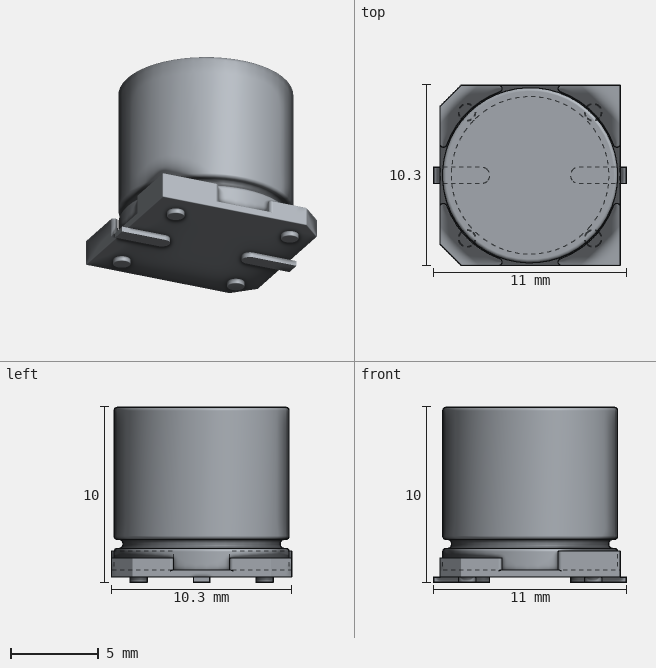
import cadquery as cq
import math

overall_height = 10.0
overall_length = 11.0
base_width = 10.3

can_radius = 5.0
can_top_round = 0.2
groove_floor_radius = 4.5
groove_center_z = 2.2
groove_width = 0.5
groove_corner_round = 0.21
groove_lip_round = 0.2

base_bottom_z = 0.3
base_floor_z = 0.7
low_corner_z = 1.4
high_corner_z = 1.8
base_bevel = 1.22
base_edge_round = 0.05
notch_half_width = 1.6
post_nose_radius = 0.2

terminal_width = 0.94
terminal_inner_x = 2.31
foot_diameter = 1.0
foot_offset = 3.6
foot_edge_round = 0.04

base_half = base_width / 2

nose_along = notch_half_width + post_nose_radius
nose_across = base_half - post_nose_radius
nose_distance = math.hypot(nose_along, nose_across)
seat_radius = nose_distance - post_nose_radius


def make_can():
    """Grooved can turned about Z, standing on the base floor."""
    half_groove = groove_width / 2
    groove_low_z = groove_center_z - half_groove
    groove_high_z = groove_center_z + half_groove
    lip_radius = can_radius - groove_lip_round
    floor_corner_radius = groove_floor_radius + groove_corner_round
    diagonal = math.sqrt(0.5)
    lip_bulge = groove_lip_round * diagonal
    corner_bulge = groove_corner_round * (1 - diagonal)
    top_bulge = can_top_round * (1 - diagonal)

    profile = (
        cq.Workplane("XZ")
        .moveTo(0, base_floor_z)
        .lineTo(can_radius, base_floor_z)
        .lineTo(can_radius, groove_low_z - groove_lip_round)
        .threePointArc(
            (lip_radius + lip_bulge, groove_low_z - groove_lip_round + lip_bulge),
            (lip_radius, groove_low_z),
        )
        .lineTo(floor_corner_radius, groove_low_z)
        .threePointArc(
            (groove_floor_radius + corner_bulge, groove_low_z + corner_bulge),
            (groove_floor_radius, groove_low_z + groove_corner_round),
        )
        .lineTo(groove_floor_radius, groove_high_z - groove_corner_round)
        .threePointArc(
            (groove_floor_radius + corner_bulge, groove_high_z - corner_bulge),
            (floor_corner_radius, groove_high_z),
        )
        .lineTo(lip_radius, groove_high_z)
        .threePointArc(
            (lip_radius + lip_bulge, groove_high_z + groove_lip_round - lip_bulge),
            (can_radius, groove_high_z + groove_lip_round),
        )
        .lineTo(can_radius, overall_height - can_top_round)
        .threePointArc(
            (can_radius - top_bulge, overall_height - top_bulge),
            (can_radius - can_top_round, overall_height),
        )
        .lineTo(0, overall_height)
        .close()
    )
    return profile.revolve(360, (0, 0, 0), (0, 1, 0))


def make_base_plate():
    """Square plate below the can, beveled at its two -X corners."""
    return (
        cq.Workplane("XY", origin=(0, 0, base_bottom_z))
        .rect(base_width, base_width)
        .extrude(base_floor_z - base_bottom_z)
        .edges("|Z and <X")
        .chamfer(base_bevel)
        .edges()
        .fillet(base_edge_round)
    )


def make_corner_post(x_side, y_side, top_z, bevel=0):
    """Post in one corner of the base, with a curved seat around the can."""
    post_bottom_z = base_bottom_z + base_edge_round
    seat_scale = seat_radius / nose_distance
    seat_end_along = nose_along * seat_scale
    seat_end_across = nose_across * seat_scale
    seat_middle = seat_radius * math.sqrt(0.5)

    sweep_start = math.atan2(-nose_across, -nose_along)
    sweep_end = -1.5 * math.pi
    nose_angle = (sweep_start + sweep_end) / 2
    nose_tip_along = nose_along + post_nose_radius * math.cos(nose_angle)
    nose_tip_across = nose_across + post_nose_radius * math.sin(nose_angle)

    def corner_point(x, y):
        return (x_side * x, y_side * y)

    post = (
        cq.Workplane("XY", origin=(0, 0, post_bottom_z))
        .moveTo(*corner_point(nose_along, base_half))
        .threePointArc(
            corner_point(nose_tip_along, nose_tip_across),
            corner_point(seat_end_along, seat_end_across),
        )
        .threePointArc(
            corner_point(seat_middle, seat_middle),
            corner_point(seat_end_across, seat_end_along),
        )
        .threePointArc(
            corner_point(nose_tip_across, nose_tip_along),
            corner_point(base_half, nose_along),
        )
        .lineTo(*corner_point(base_half, base_half))
        .close()
        .extrude(top_z - post_bottom_z)
    )
    outermost = cq.selectors.DirectionMinMaxSelector(cq.Vector(x_side, y_side, 0))
    if bevel > 0:
        post = post.edges("|Z").edges(outermost).chamfer(bevel)
    post = post.edges("|Z").edges(outermost).fillet(base_edge_round)
    return post.faces(">Z").edges().fillet(base_edge_round)


def make_terminal(x_side):
    """Flat terminal with a fully rounded inner end."""
    half_width = terminal_width / 2
    outer_x = x_side * overall_length / 2
    round_start_x = x_side * (terminal_inner_x + half_width)
    return (
        cq.Workplane("XY")
        .moveTo(outer_x, -half_width)
        .lineTo(round_start_x, -half_width)
        .threePointArc((x_side * terminal_inner_x, 0), (round_start_x, half_width))
        .lineTo(outer_x, half_width)
        .close()
        .extrude(base_bottom_z)
    )


def make_feet():
    """Four round standoff feet under the base."""
    return (
        cq.Workplane("XY")
        .rect(2 * foot_offset, 2 * foot_offset, forConstruction=True)
        .vertices()
        .circle(foot_diameter / 2)
        .extrude(base_bottom_z)
        .edges("%CIRCLE")
        .fillet(foot_edge_round)
    )


result = make_base_plate().union(make_can()).union(make_feet())
for side in (-1, 1):
    result = result.union(make_terminal(side))
    result = result.union(make_corner_post(-1, side, low_corner_z, base_bevel))
    result = result.union(make_corner_post(1, side, high_corner_z))